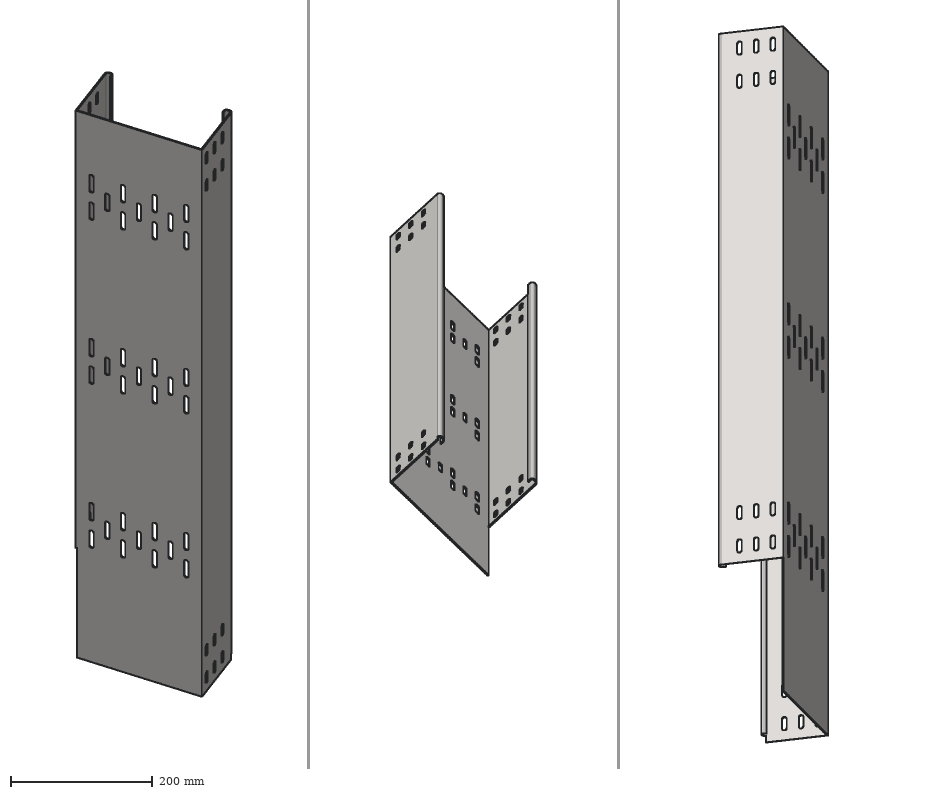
import cadquery as cq

sheet = 2.0
width = 200.0
depth = 98.0
length = 1000.0
outer_bend_radius = 5.0
lip_width = 12.0
lip_return = 9.0

left_wall_start = 200.0
right_lip_start = 10.0

base_slot_length = 32.0
base_slot_width = 7.0
base_slot_pitch = 50.0
base_long_row_count = 4
base_group_centers = (250.0, 550.0, 850.0)
base_row_offset = 25.0

wall_slot_length = 20.0
wall_slot_width = 7.0
wall_slot_pitch = 25.0
wall_row_count = 3
wall_slot_center_y = 40.5
wall_row_offset = 25.0
wall_group_inset = 50.0


def block(x0, x1, y0, y1, z0, z1):
    """Box spanning the given coordinate ranges."""
    return cq.Workplane("XY").box(x1 - x0, y1 - y0, z1 - z0, centered=False).translate((x0, y0, z0))


def left_side(start):
    """Left wall with its rounded inward lip and return, from height start to the top."""
    outer = block(0, lip_width, 0, depth, start, length)
    outer = outer.edges("|Z and >Y").fillet(outer_bend_radius)
    hollow = block(sheet, lip_width - sheet, 0, depth - sheet, start, length)
    hollow = hollow.edges("|Z and >Y").fillet(outer_bend_radius - sheet)
    below_return = block(sheet, lip_width, 0, depth - lip_return, start, length)
    return outer.cut(hollow).cut(below_return)


def right_side():
    """Full-length right wall with the lip and its bend cut back at the joint end."""
    side = left_side(0).mirror("YZ").translate((width, 0, 0))
    lip_x = width - lip_width
    bend_relief = block(lip_x, width, depth - outer_bend_radius, depth, 0, right_lip_start)
    return_relief = block(lip_x, width - sheet, depth - lip_return, depth, 0, right_lip_start)
    return side.cut(bend_relief).cut(return_relief)


def centered_row(center, count, pitch):
    """Positions of count items at equal pitch, symmetric about center."""
    return [center + (i - (count - 1) / 2) * pitch for i in range(count)]


def base_slots():
    """Cutters for the slot groups, each with a middle row staggered between two longer rows."""
    long_row = centered_row(width / 2, base_long_row_count, base_slot_pitch)
    middle_row = centered_row(width / 2, base_long_row_count - 1, base_slot_pitch)
    points = []
    for center in base_group_centers:
        points += [(x, center + base_row_offset) for x in long_row]
        points += [(x, center) for x in middle_row]
        points += [(x, center - base_row_offset) for x in long_row]
    return (
        cq.Workplane("XZ", origin=(0, sheet, 0))
        .pushPoints(points)
        .slot2D(base_slot_length, base_slot_width, 90)
        .extrude(sheet)
    )


def wall_slots(wall_x, wall_start):
    """Cutters for the slots near both ends of the wall whose lower-X face is at wall_x."""
    columns = centered_row(wall_slot_center_y, wall_row_count, wall_slot_pitch)
    groups = (wall_start + wall_group_inset, length - wall_group_inset)
    rows = [z for center in groups for z in (center - wall_row_offset, center + wall_row_offset)]
    return (
        cq.Workplane("YZ", origin=(wall_x, 0, 0))
        .pushPoints([(y, z) for y in columns for z in rows])
        .slot2D(wall_slot_length, wall_slot_width, 90)
        .extrude(sheet)
    )


base = block(sheet, width, 0, sheet, 0, length)
channel = base.union(left_side(left_wall_start)).union(right_side())
channel = channel.cut(base_slots())
channel = channel.cut(wall_slots(0, left_wall_start))
result = channel.cut(wall_slots(width - sheet, 0))